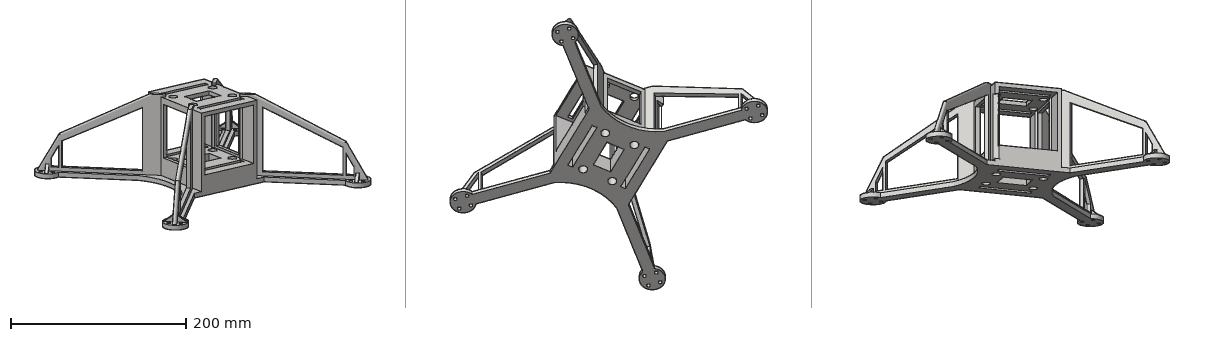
import cadquery as cq
import math

BODY_X = 100.0
BODY_Y = 80.0
BODY_Z = 100.0
WALL = 5.0
CAVITY_FLOOR = 25.0
END_WINDOW_X = 43.0
END_WINDOW_BOTTOM = 28.0
END_WINDOW_TOP = 92.0

CENTRE_OPENING = (22.0, 35.0)
STRAP_SLOT = (6.0, 62.0)
STRAP_SLOT_X = 33.7
POST_HOLE_DIAMETER = 10.0
POST_HOLE_X = 18.6
POST_HOLE_Y = 28.3

BASE_Z = 5.8
ARM_ROOT_X = BODY_X / 2
ARM_ROOT_Y = 60.0
ARM_LENGTH = 100.0
ARM_WIDTH = 14.14
WAIST_Y = 48.5
PAD_DIAMETER = 30.0
PAD_HOLE_COUNT = 4
PAD_HOLE_DIAMETER = 4.0
PAD_HOLE_RADIUS = 10.0

GUSSET_THICKNESS = 5.0
GUSSET_TOP = 102.61
GUSSET_INNER = -36.0
GUSSET_SHOULDER = (-18.0, GUSSET_TOP)
GUSSET_KNEE = (86.5, 50.5)
GUSSET_FOOT = (112.0, BASE_Z)
SLAB_REACH = 300.0
POST_WIDTH = 3.5

TOE_WINDOW_OUTER = 95.7
TOE_WINDOW_BOTTOM = 10.4
TOE_WINDOW_SHOULDER = 21.0

GUSSET_WINDOWS = {
    (-1, -1): dict(edges=(-9.5, 83.5), bottom=(10.4, 10.4), top=(86.0, 42.0)),
    (1, -1): dict(edges=(-9.5, 77.4), bottom=(11.2, 10.4), top=(90.5, 46.0)),
    (1, 1): dict(edges=(-9.5, 83.0), bottom=(10.4, 10.4), top=(88.0, 44.0)),
    (-1, 1): dict(edges=(-20.0, 81.5), bottom=(8.6, 8.6), top=(88.0, 40.5)),
}

NOTCHED_CORNER = (-1, 1)
NOTCH_DEPTH = 20.0

RIB_THICKNESS = 4.0
RIB_HEIGHT = 10.0
RIB_HALF_LENGTH = 13.5


def on_arm(shape, side_x, side_y):
    """Move a shape built along +X from the origin onto the arm of a corner."""
    angle = math.degrees(math.atan2(side_y, side_x))
    arm_root = (side_x * ARM_ROOT_X, side_y * ARM_ROOT_Y, 0)
    return shape.rotate((0, 0, 0), (0, 0, 1), angle).translate(arm_root)


def profile_plate(points, thickness):
    """Upright plate in the XZ plane, centred on Y = 0."""
    return cq.Workplane("XZ").polyline(points).close().extrude(thickness / 2, both=True)


def base_plate():
    """Plate under the body, with concave ends and cropped corners."""
    crop = ARM_WIDTH / math.sqrt(2)
    waist_x = ARM_ROOT_X - crop
    side_y = ARM_ROOT_Y - crop
    return (
        cq.Workplane("XY")
        .moveTo(-waist_x, -ARM_ROOT_Y)
        .threePointArc((0, -WAIST_Y), (waist_x, -ARM_ROOT_Y))
        .lineTo(ARM_ROOT_X, -side_y)
        .lineTo(ARM_ROOT_X, side_y)
        .lineTo(waist_x, ARM_ROOT_Y)
        .threePointArc((0, WAIST_Y), (-waist_x, ARM_ROOT_Y))
        .lineTo(-ARM_ROOT_X, side_y)
        .lineTo(-ARM_ROOT_X, -side_y)
        .close()
        .extrude(BASE_Z)
    )


def arm():
    """Arm from the cropped plate corner to the motor pad."""
    beam_start = -ARM_WIDTH / 2
    beam = (
        cq.Workplane("XY", origin=(beam_start, 0, 0))
        .box(ARM_LENGTH - beam_start, ARM_WIDTH, BASE_Z, centered=(False, True, False))
    )
    pad = cq.Workplane("XY").center(ARM_LENGTH, 0).circle(PAD_DIAMETER / 2).extrude(BASE_Z)
    return beam.union(pad)


def rounded_slab(start, end):
    """Large upright slab with a fully rounded top edge through two profile points."""
    radius = GUSSET_THICKNESS / 2
    direction = (end[0] - start[0], 0, end[1] - start[1])
    section = cq.Plane(origin=(start[0], 0, start[1]), xDir=(0, 1, 0), normal=direction)
    return (
        cq.Workplane(section)
        .moveTo(-radius, -SLAB_REACH)
        .lineTo(-radius, -radius)
        .threePointArc((0, 0), (radius, -radius))
        .lineTo(radius, -SLAB_REACH)
        .close()
        .extrude(SLAB_REACH, both=True)
    )


def gusset():
    """Solid gusset: flat over the body, then two sloping edges with rounded tops."""
    plate = profile_plate(
        [
            (GUSSET_INNER, 0),
            (GUSSET_INNER, GUSSET_TOP),
            GUSSET_SHOULDER,
            GUSSET_KNEE,
            GUSSET_FOOT,
            (GUSSET_FOOT[0], 0),
        ],
        GUSSET_THICKNESS,
    )
    slope = rounded_slab(GUSSET_SHOULDER, GUSSET_KNEE)
    leg = rounded_slab(GUSSET_KNEE, GUSSET_FOOT)
    return plate.intersect(slope).intersect(leg)


def large_window(side_x, side_y, thickness=GUSSET_THICKNESS):
    """Cutter for the main opening of the gusset at one corner."""
    window = GUSSET_WINDOWS[side_x, side_y]
    inner, outer = window["edges"]
    inner_bottom, outer_bottom = window["bottom"]
    inner_top, outer_top = window["top"]
    return profile_plate(
        [(inner, inner_bottom), (outer, outer_bottom), (outer, outer_top), (inner, inner_top)],
        thickness,
    )


def toe_window(side_x, side_y):
    """Cutter between post and leg, its upper edge parallel to the leg."""
    inner = GUSSET_WINDOWS[side_x, side_y]["edges"][1] + POST_WIDTH
    leg_slope = (GUSSET_KNEE[1] - GUSSET_FOOT[1]) / (GUSSET_FOOT[0] - GUSSET_KNEE[0])
    apex = TOE_WINDOW_SHOULDER + leg_slope * (TOE_WINDOW_OUTER - inner)
    return profile_plate(
        [
            (inner, TOE_WINDOW_BOTTOM),
            (TOE_WINDOW_OUTER, TOE_WINDOW_BOTTOM),
            (TOE_WINDOW_OUTER, TOE_WINDOW_SHOULDER),
            (inner, apex),
        ],
        GUSSET_THICKNESS,
    )


def pad_rib():
    """Triangular rib across the pad, highest at the gusset."""
    return (
        cq.Workplane("YZ", origin=(ARM_LENGTH - RIB_THICKNESS / 2, 0, BASE_Z))
        .polyline([(-RIB_HALF_LENGTH, 0), (RIB_HALF_LENGTH, 0), (0, RIB_HEIGHT)])
        .close()
        .extrude(RIB_THICKNESS)
    )


def body():
    """Block with a cavity open to both X sides and a window in each Y wall."""
    block = cq.Workplane("XY").box(BODY_X, BODY_Y, BODY_Z, centered=(True, True, False))
    cavity = (
        cq.Workplane("XY", origin=(0, 0, CAVITY_FLOOR))
        .box(BODY_X, BODY_Y - 2 * WALL, BODY_Z - WALL - CAVITY_FLOOR, centered=(True, True, False))
    )
    end_windows = (
        cq.Workplane("XY", origin=(0, 0, END_WINDOW_BOTTOM))
        .box(END_WINDOW_X, BODY_Y, END_WINDOW_TOP - END_WINDOW_BOTTOM, centered=(True, True, False))
    )
    return block.cut(cavity).cut(end_windows)


def deck_openings():
    """Cutters that pass through both the deck and the floor of the body."""
    post_holes = [(x, y) for x in (-POST_HOLE_X, POST_HOLE_X) for y in (-POST_HOLE_Y, POST_HOLE_Y)]
    slots = [(-STRAP_SLOT_X, 0), (STRAP_SLOT_X, 0)]
    cutters = cq.Workplane("XY").rect(*CENTRE_OPENING).extrude(BODY_Z)
    cutters = cutters.union(cq.Workplane("XY").pushPoints(slots).rect(*STRAP_SLOT).extrude(BODY_Z))
    holes = cq.Workplane("XY").pushPoints(post_holes).circle(POST_HOLE_DIAMETER / 2).extrude(BODY_Z)
    return cutters.union(holes)


def pad_holes(side_x, side_y):
    """Holes on a circle around the pad centre, aligned with X and Y."""
    pad_offset = ARM_LENGTH / math.sqrt(2)
    centre = (side_x * (ARM_ROOT_X + pad_offset), side_y * (ARM_ROOT_Y + pad_offset))
    return (
        cq.Workplane("XY", origin=(*centre, 0))
        .polarArray(PAD_HOLE_RADIUS, 0, 360, PAD_HOLE_COUNT)
        .circle(PAD_HOLE_DIAMETER / 2)
        .extrude(BASE_Z)
    )


def corner_notch():
    """The deep window cut, reaching from the gusset into the corner of the body."""
    window = large_window(*NOTCHED_CORNER, thickness=NOTCH_DEPTH)
    return window.translate((0, (NOTCH_DEPTH - GUSSET_THICKNESS) / 2, 0))


result = base_plate().union(body())
for corner in GUSSET_WINDOWS:
    frame = gusset().cut(large_window(*corner)).cut(toe_window(*corner))
    result = result.union(on_arm(arm(), *corner))
    result = result.union(on_arm(frame.union(pad_rib()), *corner))
for corner in GUSSET_WINDOWS:
    result = result.cut(pad_holes(*corner))
result = result.cut(on_arm(corner_notch(), *NOTCHED_CORNER))
result = result.cut(deck_openings())